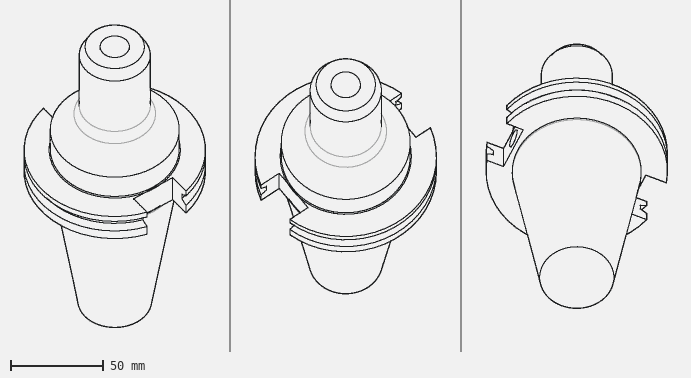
import cadquery as cq
import math

gauge_height = 101.5
gauge_radius = 35.0
taper_slope = 7 / 48
small_end_radius = gauge_radius - gauge_height * taper_slope

flange_bottom = 103.0
flange_top = 120.7
flange_radius = 49.2

groove_height = 113.0
groove_floor_width = 3.5
groove_depth = 3.7
groove_wall_angle = 30.0
groove_wall_rise = groove_depth * math.tan(math.radians(groove_wall_angle))

slot_width = 26.2
left_slot_wall = 37.5
right_slot_wall = 35.2
side_hole_height = 112.5
side_hole_radius = 4.9
side_hole_depth = 5.0

body_radius = 35.0
body_top = 136.8
base_chamfer = 0.6

nose_radius = 19.3
nose_top = 203.2
cone_angle = math.radians(45)
nose_fillet = 9.5
tip_radius = 16.0
tip_chamfer_height = 6.5
bore_radius = 8.0
bore_depth = 40.6


def revolve_profile(profile):
    return profile.close().revolve(360, (0, 0, 0), (0, 1, 0))


def make_blank():
    fillet_foot_radius = nose_radius + nose_fillet * (1 - math.cos(cone_angle))
    fillet_foot = body_top + (body_radius - fillet_foot_radius) * math.tan(cone_angle)
    fillet_top = fillet_foot + nose_fillet * math.sin(cone_angle)
    fillet_middle = (
        nose_radius + nose_fillet * (1 - math.cos(cone_angle / 2)),
        fillet_top - nose_fillet * math.sin(cone_angle / 2),
    )
    profile = (
        cq.Workplane("XZ")
        .lineTo(small_end_radius, 0)
        .lineTo(gauge_radius, gauge_height)
        .lineTo(gauge_radius, flange_bottom)
        .lineTo(flange_radius, flange_bottom)
        .lineTo(flange_radius, flange_top)
        .lineTo(body_radius + base_chamfer, flange_top)
        .lineTo(body_radius, flange_top + base_chamfer)
        .lineTo(body_radius, body_top)
        .lineTo(fillet_foot_radius, fillet_foot)
        .threePointArc(fillet_middle, (nose_radius, fillet_top))
        .lineTo(nose_radius, nose_top - tip_chamfer_height)
        .lineTo(tip_radius, nose_top)
        .lineTo(0, nose_top)
    )
    return revolve_profile(profile)


def make_groove():
    floor_radius = flange_radius - groove_depth
    half_floor = groove_floor_width / 2
    half_mouth = half_floor + groove_wall_rise
    profile = (
        cq.Workplane("XZ")
        .moveTo(floor_radius, groove_height - half_floor)
        .lineTo(flange_radius, groove_height - half_mouth)
        .lineTo(flange_radius, groove_height + half_mouth)
        .lineTo(floor_radius, groove_height + half_floor)
    )
    return revolve_profile(profile)


def make_slot(side, wall):
    """Cutter for a slot on the +X (side = 1) or -X (side = -1) flank."""
    length = flange_radius - wall
    return (
        cq.Workplane("XY", origin=(side * (wall + length / 2), 0, flange_bottom))
        .rect(length, slot_width)
        .extrude(flange_top - flange_bottom)
    )


def make_side_hole():
    return (
        cq.Workplane("YZ", origin=(-left_slot_wall, 0, side_hole_height))
        .circle(side_hole_radius)
        .extrude(side_hole_depth)
    )


def make_bore():
    return (
        cq.Workplane("XY", origin=(0, 0, nose_top - bore_depth))
        .circle(bore_radius)
        .extrude(bore_depth)
    )


result = (
    make_blank()
    .cut(make_groove())
    .cut(make_slot(-1, left_slot_wall))
    .cut(make_slot(1, right_slot_wall))
    .cut(make_side_hole())
    .cut(make_bore())
)